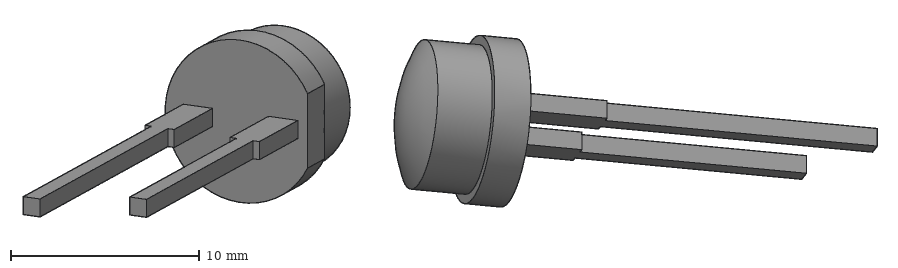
import cadquery as cq


flange_diameter = 9.0
flange_height = 2.0
barrel_diameter = 8.0
barrel_height = 3.0
dome_height = 1.0
flat_offset = barrel_diameter / 2

lead_pitch = 5.08
lead_thickness = 1.0
lead_width = 1.0
shoulder_width = 1.75
shoulder_length = 4.5
anode_length = 19.5
cathode_length = 17.0


def make_lens():
    """Flange, barrel and spherical dome revolved about Y, with a flat on the +X side."""
    flange_radius = flange_diameter / 2
    barrel_radius = barrel_diameter / 2
    barrel_top = flange_height + barrel_height
    apex = barrel_top + dome_height

    dome_radius = (barrel_radius**2 + dome_height**2) / (2 * dome_height)
    dome_center = apex - dome_radius
    mid_x = barrel_radius / 2
    mid_y = dome_center + (dome_radius**2 - mid_x**2) ** 0.5

    body = (
        cq.Workplane("XY")
        .lineTo(flange_radius, 0)
        .lineTo(flange_radius, flange_height)
        .lineTo(barrel_radius, flange_height)
        .lineTo(barrel_radius, barrel_top)
        .threePointArc((mid_x, mid_y), (0, apex))
        .close()
        .revolve(360, (0, 0, 0), (0, 1, 0))
    )
    flat_cutter = (
        cq.Workplane("XY")
        .box(flange_diameter, flange_height, flange_diameter, centered=(False, False, True))
        .translate((flat_offset, 0, 0))
    )
    return body.cut(flat_cutter)


def make_lead(x_position, length):
    """Flat lead with a wide shoulder next to the flange and a narrow leg below it."""
    half_shoulder = shoulder_width / 2
    half_leg = lead_width / 2
    outline = [
        (-half_shoulder, 0),
        (half_shoulder, 0),
        (half_shoulder, -shoulder_length),
        (half_leg, -shoulder_length),
        (half_leg, -length),
        (-half_leg, -length),
        (-half_leg, -shoulder_length),
        (-half_shoulder, -shoulder_length),
    ]
    return (
        cq.Workplane("XY")
        .polyline(outline)
        .close()
        .extrude(lead_thickness / 2, both=True)
        .translate((x_position, 0, 0))
    )


lens = make_lens()
leads = [
    make_lead(x_position, length)
    for x_position, length in [(-lead_pitch / 2, anode_length), (lead_pitch / 2, cathode_length)]
]

result = cq.Compound.makeCompound([lens.val(), *[lead.val() for lead in leads]])